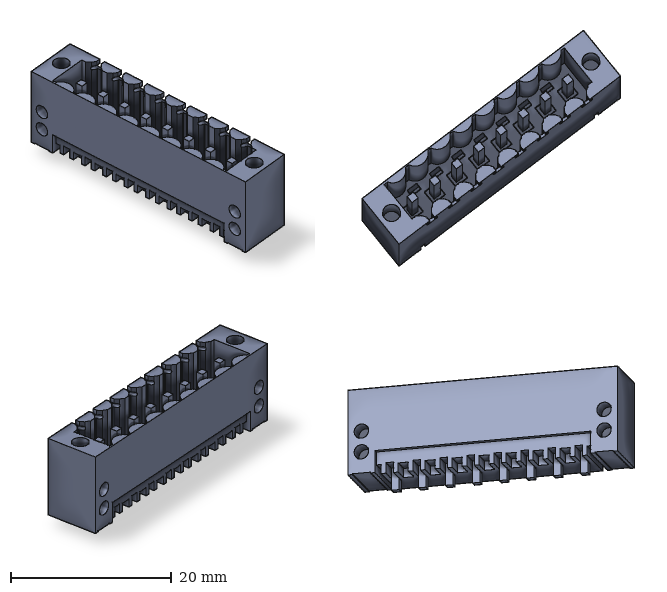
import cadquery as cq
LENGTH = 35.0
DEPTH = 7.45
HEIGHT = 11.05
FRONT_Y = -DEPTH / 2
REAR_Y = DEPTH / 2
CUT_MARGIN = 0.35

PIN_COUNT = 8
PITCH = 3.5
PIN_SIZE = 0.98
PIN_Y = -0.2
PIN_BOTTOM = -1.5
PIN_TOP = 9.85
PIN_FRONT_Y = PIN_Y - PIN_SIZE / 2
PIN_XS = [(i - (PIN_COUNT - 1) / 2) * PITCH for i in range(PIN_COUNT)]
GAP_XS = [(i - (PIN_COUNT - 2) / 2) * PITCH for i in range(PIN_COUNT - 1)]

CAVITY_LENGTH = 28.45
CAVITY_FLOOR = 3.5
CAVITY_FRONT_Y = -3.55
CAVITY_END_FRONT_Y = -3.43
CAVITY_REAR_Y = 3.32

FRONT_RIB_RADIUS = 1.65
FRONT_RIB_TIP_Y = -2.6
REAR_RIB_ROOT_WIDTH = 2.73
REAR_RIB_ROOT_Y = 3.15
REAR_RIB_SHOULDER_WIDTH = 1.95
REAR_RIB_SHOULDER_Y = 2.55
REAR_RIB_TIP_WIDTH = 0.85
REAR_RIB_TIP_Y = 2.15
REAR_RIB_HOLLOW = 0.045

NOTCH_SLOT_WIDTH = PITCH - REAR_RIB_ROOT_WIDTH
NOTCH_WINDOW_WIDTH = 1.7
NOTCH_WINDOW_HEIGHT = 0.55
NOTCH_BOTTOM = PIN_TOP

PIN_RECESS_SIZE = 1.85
PIN_RECESS_DEPTH = 0.35
POCKET_WIDTH = 1.47
POCKET_DEPTH = 0.42
POCKET_FRONT_Y = -2.6
POCKET_REAR_Y = -1.7

END_HOLE_X = 15.75
SCREW_HOLE_DIAMETER = 2.2
SCREW_HOLE_DEPTH = 3.5
SIDE_HOLE_DIAMETER = 1.85
SIDE_HOLE_DEPTH = 2.1
SIDE_HOLE_ZS = (2.87, 5.55)

BASE_RECESS_LENGTH = 28.0
BASE_RECESS_HEIGHT = 2.87
BASE_RECESS_DEPTH = 0.63
END_GAP_WIDTH = 0.63
TOOTH_GAP_WIDTH = 1.3
TOOTH_HEIGHT = 1.2
PIN_SLOT_HEIGHT = 1.35
FOOT_GROOVE_WIDTH = 2.35
FOOT_GROOVE_HEIGHT = 0.1


def box(x_range, y_range, z_range):
    """Axis-aligned box between the given limits."""
    size = [high - low for low, high in (x_range, y_range, z_range)]
    corner = (x_range[0], y_range[0], z_range[0])
    return cq.Workplane("XY").box(*size, centered=False).translate(corner)


def span(centre, width):
    """Limits of a width centred on a coordinate."""
    return (centre - width / 2, centre + width / 2)


def front_ribs():
    """Upright cylinders beside the pins, reaching from the cavity floor to the rim."""
    rib_y = FRONT_RIB_TIP_Y - FRONT_RIB_RADIUS
    return (
        cq.Workplane("XY", origin=(0, 0, CAVITY_FLOOR))
        .pushPoints([(x, rib_y) for x in PIN_XS])
        .circle(FRONT_RIB_RADIUS)
        .extrude(HEIGHT - CAVITY_FLOOR)
    )


def rear_rib(x):
    """Upright rib with square sides, sloping flanks, then hollow faces that lead to a flat tip."""
    half_root = REAR_RIB_ROOT_WIDTH / 2
    half_shoulder = REAR_RIB_SHOULDER_WIDTH / 2
    half_tip = REAR_RIB_TIP_WIDTH / 2
    return (
        cq.Workplane("XY", origin=(x, 0, CAVITY_FLOOR))
        .moveTo(-half_root, CAVITY_REAR_Y)
        .lineTo(-half_root, REAR_RIB_ROOT_Y)
        .lineTo(-half_shoulder, REAR_RIB_SHOULDER_Y)
        .sagittaArc((-half_tip, REAR_RIB_TIP_Y), REAR_RIB_HOLLOW)
        .lineTo(half_tip, REAR_RIB_TIP_Y)
        .sagittaArc((half_shoulder, REAR_RIB_SHOULDER_Y), REAR_RIB_HOLLOW)
        .lineTo(half_root, REAR_RIB_ROOT_Y)
        .lineTo(half_root, CAVITY_REAR_Y)
        .close()
        .extrude(HEIGHT - CAVITY_FLOOR)
    )


def cavity():
    """Space above the floor: a box less the thicker wall ends and the ribs of both long walls."""
    z_range = (CAVITY_FLOOR, HEIGHT)
    x_range = span(0, CAVITY_LENGTH)
    space = box(x_range, (CAVITY_FRONT_Y, CAVITY_REAR_Y), z_range)
    thick_y = (CAVITY_FRONT_Y, CAVITY_END_FRONT_Y)
    space = space.cut(box((x_range[0], PIN_XS[0]), thick_y, z_range))
    space = space.cut(box((PIN_XS[-1], x_range[1]), thick_y, z_range))
    space = space.cut(front_ribs())
    for x in [PIN_XS[0] - PITCH / 2, *GAP_XS, PIN_XS[-1] + PITCH / 2]:
        space = space.cut(rear_rib(x))
    return space


def coding_notch(x):
    """Slot from the rim down to a round-ended window, cut through the rear wall and rib flanks."""
    y_range = (REAR_RIB_TIP_Y, REAR_Y + CUT_MARGIN)
    middle_z = NOTCH_BOTTOM + NOTCH_WINDOW_HEIGHT / 2
    slot = box(span(x, NOTCH_SLOT_WIDTH), y_range, (middle_z, HEIGHT + CUT_MARGIN))
    window = (
        cq.Workplane("XZ", origin=(x, y_range[1], middle_z))
        .slot2D(NOTCH_WINDOW_WIDTH, NOTCH_WINDOW_HEIGHT)
        .extrude(y_range[1] - y_range[0])
    )
    return slot.union(window)


def pin_recess(x):
    """Shallow square recess around a pin in the cavity floor."""
    return box(
        span(x, PIN_RECESS_SIZE),
        span(PIN_Y, PIN_RECESS_SIZE),
        (CAVITY_FLOOR - PIN_RECESS_DEPTH, CAVITY_FLOOR),
    )


def floor_pocket(x):
    """Pocket between two pins, its front wall sloping at 45 degrees."""
    bottom = CAVITY_FLOOR - POCKET_DEPTH
    return (
        cq.Workplane("YZ", origin=(x, 0, 0))
        .moveTo(POCKET_FRONT_Y, CAVITY_FLOOR)
        .lineTo(POCKET_FRONT_Y + POCKET_DEPTH, bottom)
        .lineTo(POCKET_REAR_Y, bottom)
        .lineTo(POCKET_REAR_Y, CAVITY_FLOOR)
        .close()
        .extrude(POCKET_WIDTH / 2, both=True)
    )


def end_block_cuts(x):
    """Screw hole, two side holes and foot groove of one end block."""
    screw_hole = (
        cq.Workplane("XY", origin=(x, 0, HEIGHT))
        .circle(SCREW_HOLE_DIAMETER / 2)
        .extrude(-SCREW_HOLE_DEPTH)
    )
    side_holes = (
        cq.Workplane("XZ", origin=(x, FRONT_Y, 0))
        .pushPoints([(0, z) for z in SIDE_HOLE_ZS])
        .circle(SIDE_HOLE_DIAMETER / 2)
        .extrude(-SIDE_HOLE_DEPTH)
    )
    foot_groove = box(
        span(x, FOOT_GROOVE_WIDTH), (FRONT_Y, REAR_Y), (0, FOOT_GROOVE_HEIGHT)
    )
    return [screw_hole, *side_holes.vals(), foot_groove]


def base_cuts():
    """Front recess of the base, the gaps beside its end blocks and the gaps between its teeth."""
    recess_x = span(0, BASE_RECESS_LENGTH)
    comb_y = (FRONT_Y, PIN_FRONT_Y)
    through_y = (FRONT_Y, REAR_Y)
    tooth_z = (0, TOOTH_HEIGHT)
    cuts = [box(recess_x, (FRONT_Y, FRONT_Y + BASE_RECESS_DEPTH), (0, BASE_RECESS_HEIGHT))]
    cuts.append(box((recess_x[0], recess_x[0] + END_GAP_WIDTH), through_y, tooth_z))
    cuts.append(box((recess_x[1] - END_GAP_WIDTH, recess_x[1]), through_y, tooth_z))
    cuts += [box(span(x, TOOTH_GAP_WIDTH), comb_y, tooth_z) for x in GAP_XS]
    cuts += [box(span(x, PIN_SIZE), comb_y, (0, PIN_SLOT_HEIGHT)) for x in PIN_XS]
    return cuts


def make_pin(x):
    """Straight square contact pin."""
    return box(span(x, PIN_SIZE), span(PIN_Y, PIN_SIZE), (PIN_BOTTOM, PIN_TOP))


def make_housing(pins):
    """Housing block with every recess, and a fitting hole for each pin."""
    cuts = [cavity(), *base_cuts(), *pins]
    cuts += end_block_cuts(-END_HOLE_X)
    cuts += end_block_cuts(END_HOLE_X)
    cuts += [floor_pocket(x) for x in GAP_XS]
    for x in PIN_XS:
        cuts.append(coding_notch(x))
        cuts.append(pin_recess(x))

    housing = box(span(0, LENGTH), (FRONT_Y, REAR_Y), (0, HEIGHT))
    for cutter in cuts:
        housing = housing.cut(cutter)
    return housing


pins = [make_pin(x) for x in PIN_XS]
housing = make_housing(pins)

result = cq.Compound.makeCompound([housing.val(), *[pin.val() for pin in pins]])